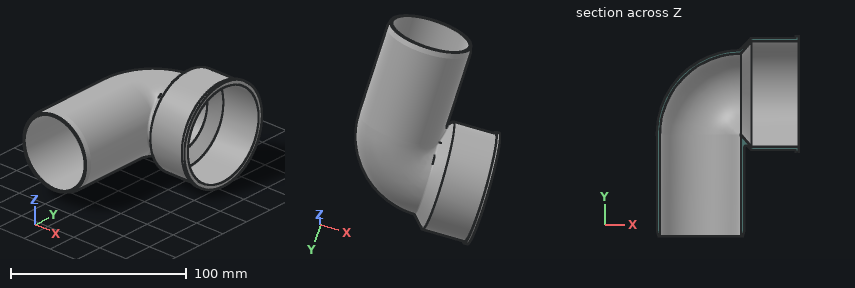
import cadquery as cq
import math


pipe_diameter = 50.0
pipe_bore = 46.0
socket_diameter = 64.0
socket_bore = 60.0
rim_diameter = 66.0

bend_radius = 23.0
cone_start = 22.25
cone_end = 29.0
socket_end = 56.0
spigot_end = 81.0

rim_width = 2.0
lead_in_length = 3.5
lead_in_angle = 15.0
throat_fillet = 1.0

lead_in_inset = lead_in_length * math.tan(math.radians(lead_in_angle))
cone_overlap = 1.0


def bend(diameter):
    """Quarter torus joining the branches; a tube reaching past the bend axis is cut off there."""
    radius = diameter / 2
    section = cq.Workplane("XZ", origin=(0, -bend_radius, 0))
    if radius > bend_radius:
        half_chord = math.sqrt(radius**2 - bend_radius**2)
        section = section.moveTo(bend_radius, half_chord)
        section = section.threePointArc((-radius, 0), (bend_radius, -half_chord)).close()
    else:
        section = section.circle(radius)
    return section.revolve(90, (bend_radius, 1, 0), (bend_radius, 0, 0))


def revolve_about_x(profile):
    """Solid of revolution about X from (x, radius) points."""
    start = (profile[0][0], 0)
    end = (profile[-1][0], 0)
    outline = cq.Workplane("XY").polyline([start] + profile + [end]).close()
    return outline.revolve(360, (0, 0, 0), (1, 0, 0))


def revolve_about_y(profile):
    """Solid of revolution about Y from (radius, y) points."""
    start = (0, profile[0][1])
    end = (0, profile[-1][1])
    outline = cq.Workplane("XY").polyline([start] + profile + [end]).close()
    return outline.revolve(360, (0, 0, 0), (0, 1, 0))


def spigot_body():
    """Straight pipe with a tapered lead-in at its open end."""
    radius = pipe_diameter / 2
    return revolve_about_y(
        [
            (radius, -bend_radius),
            (radius, -spigot_end + lead_in_length),
            (radius - lead_in_inset, -spigot_end),
        ]
    )


def spigot_passage():
    radius = pipe_bore / 2
    return revolve_about_y([(radius, -bend_radius), (radius, -spigot_end)])


def socket_body():
    """Cone widening from the pipe to a straight socket."""
    slope = (socket_diameter - pipe_diameter) / 2 / (cone_end - cone_start)
    buried_radius = pipe_diameter / 2 - cone_overlap * slope
    return revolve_about_x(
        [
            (cone_start - cone_overlap, buried_radius),
            (cone_end, socket_diameter / 2),
            (socket_end, socket_diameter / 2),
        ]
    )


def socket_passage():
    return revolve_about_x(
        [
            (bend_radius, pipe_bore / 2),
            (cone_end, socket_bore / 2),
            (socket_end, socket_bore / 2),
        ]
    )


def socket_rim():
    radius = rim_diameter / 2
    return revolve_about_x([(socket_end - rim_width, radius), (socket_end, radius)])


def fillet_throat(body):
    """Round the corner where the cone meets the bend and the spigot."""
    cone = body.faces("%CONE").faces(">X")
    throat = [e for e in cone.edges().vals() if e.geomType() == "BSPLINE"]
    return body.newObject(throat).fillet(throat_fillet)


body = bend(pipe_diameter).union(spigot_body()).union(socket_body())
body = fillet_throat(body).union(socket_rim())
passage = bend(pipe_bore).union(spigot_passage()).union(socket_passage())
result = body.cut(passage)